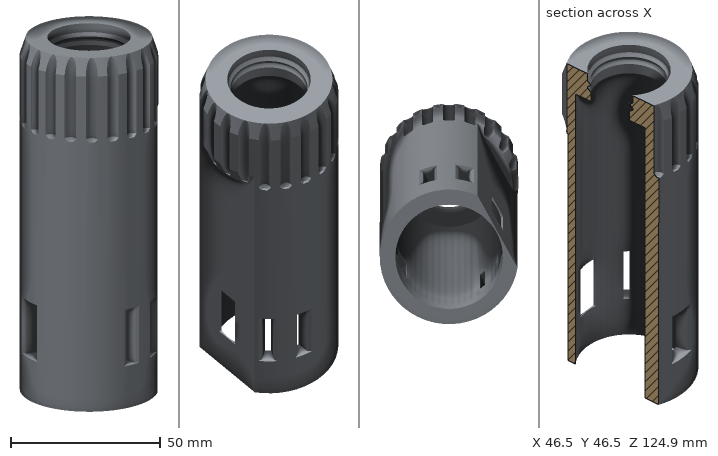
import cadquery as cq
import math

HEIGHT = 124.9
OUTER_RADIUS = 46.5 / 2
FLAT_OFFSET = 18.4

GRIP_HEIGHT = 29.4
GRIP_BOTTOM = HEIGHT - GRIP_HEIGHT
GRIP_CHAMFER_RADIAL = 2.0
GRIP_CHAMFER_HEIGHT = 6.0
FLUTE_COUNT = 20
FLUTE_RADIUS = 2.0
FLUTE_FIRST_ANGLE = 10.0
FLUTE_END_CHAMFER = 1.0

CAVITY_RADIUS = 18.0
NECK_RADIUS = 28 / 2
CREST_RADIUS = 26 / 2
ENTRY_DEPTH = 3.1
RIDGE_FLANK_HEIGHT = 1.2
GROOVE_PITCH = 3.0
LAND_HEIGHT = 3.95

WINDOW_BOTTOM = 15.0
WINDOW_HEIGHT = 20.0
FRONT_WINDOW_WIDTH = 10.4
SIDE_WINDOW_WIDTH = 6.28
FLAT_WINDOW_WIDTH = 8.0
SIDE_WINDOW_ANGLES = (10.3, 41.4)
WINDOW_BEVEL_WIDTH = 1.1
WINDOW_BEVEL_ANGLE = 34.0
WINDOW_TAPER_ANGLE = 13.0
CUT_MARGIN = 1.0


def cylinder(radius, bottom, top):
    return cq.Workplane("XY").workplane(offset=bottom).circle(radius).extrude(top - bottom)


def beyond_flat(bottom, height):
    """Block covering everything on the +Y side of the flat."""
    return (
        cq.Workplane("XY")
        .workplane(offset=bottom)
        .center(0, FLAT_OFFSET + OUTER_RADIUS / 2)
        .rect(2 * OUTER_RADIUS, OUTER_RADIUS)
        .extrude(height)
    )


def body():
    """Round body below the grip, with a full-length flat on its +Y side."""
    round_body = cylinder(OUTER_RADIUS, 0, GRIP_BOTTOM)
    return round_body.cut(beyond_flat(0, GRIP_BOTTOM))


def grip():
    """Grip with a conical bevel at the top, and at the bottom where it overhangs the flat."""
    end_radius = OUTER_RADIUS - GRIP_CHAMFER_RADIAL
    profile = [
        (0, GRIP_BOTTOM),
        (end_radius, GRIP_BOTTOM),
        (OUTER_RADIUS, GRIP_BOTTOM + GRIP_CHAMFER_HEIGHT),
        (OUTER_RADIUS, HEIGHT - GRIP_CHAMFER_HEIGHT),
        (end_radius, HEIGHT),
        (0, HEIGHT),
    ]
    beveled = cq.Workplane("XZ").polyline(profile).close().revolve(360, (0, 0), (0, 1))
    round_base = cylinder(OUTER_RADIUS, GRIP_BOTTOM, GRIP_BOTTOM + GRIP_CHAMFER_HEIGHT)
    overhang = beyond_flat(GRIP_BOTTOM, GRIP_CHAMFER_HEIGHT)
    return beveled.union(round_base.cut(overhang))


def cut_flutes(part):
    """Round-bottomed flutes, closed by a bevel at their lower ends."""
    cutter = cylinder(FLUTE_RADIUS, GRIP_BOTTOM, HEIGHT).faces("<Z").chamfer(FLUTE_END_CHAMFER)
    cutter = cutter.translate((OUTER_RADIUS, 0, 0))
    for index in range(FLUTE_COUNT):
        angle = FLUTE_FIRST_ANGLE + index * 360 / FLUTE_COUNT
        part = part.cut(cutter.rotate((0, 0, 0), (0, 0, 1), angle))
    return part


def bore():
    """Through bore: plain entry, two V ridges, a land, then the wide cavity."""
    first_crest = HEIGHT - ENTRY_DEPTH - RIDGE_FLANK_HEIGHT
    second_crest = first_crest - GROOVE_PITCH
    cavity_top = second_crest - LAND_HEIGHT
    profile = [
        (0, 0),
        (CAVITY_RADIUS, 0),
        (CAVITY_RADIUS, cavity_top),
        (CREST_RADIUS, cavity_top),
        (CREST_RADIUS, second_crest),
        (NECK_RADIUS, second_crest + RIDGE_FLANK_HEIGHT),
        (NECK_RADIUS, first_crest - RIDGE_FLANK_HEIGHT),
        (CREST_RADIUS, first_crest),
        (NECK_RADIUS, HEIGHT - ENTRY_DEPTH),
        (NECK_RADIUS, HEIGHT),
        (0, HEIGHT),
    ]
    return cq.Workplane("XZ").polyline(profile).close().revolve(360, (0, 0), (0, 1))


def window(width, angle):
    """Window narrowing toward the axis, with a shallow bevel at the outer surface."""
    half_width = width / 2
    mouth = math.sqrt(OUTER_RADIUS**2 - half_width**2)
    bevel_slope = math.tan(math.radians(WINDOW_BEVEL_ANGLE))
    throat = mouth - WINDOW_BEVEL_WIDTH * bevel_slope
    throat_half = half_width - WINDOW_BEVEL_WIDTH
    inner = CAVITY_RADIUS - CUT_MARGIN
    inner_half = throat_half - (throat - inner) * math.tan(math.radians(WINDOW_TAPER_ANGLE))
    outer = OUTER_RADIUS + CUT_MARGIN
    outer_half = half_width + (outer - mouth) / bevel_slope
    upper_side = [(outer, outer_half), (throat, throat_half), (inner, inner_half)]
    lower_side = [(x, -y) for x, y in reversed(upper_side)]
    return (
        cq.Workplane("XY")
        .workplane(offset=WINDOW_BOTTOM)
        .polyline(upper_side + lower_side)
        .close()
        .extrude(WINDOW_HEIGHT)
        .rotate((0, 0, 0), (0, 0, 1), angle)
    )


def cut_windows(part):
    """Front window on -Y, two side windows on each of -X and +X, plain window in the flat."""
    part = part.cut(window(FRONT_WINDOW_WIDTH, -90))
    for angle in SIDE_WINDOW_ANGLES:
        part = part.cut(window(SIDE_WINDOW_WIDTH, angle))
        part = part.cut(window(SIDE_WINDOW_WIDTH, 180 - angle))
    flat_window = (
        cq.Workplane("XY")
        .workplane(offset=WINDOW_BOTTOM)
        .center(0, FLAT_OFFSET)
        .rect(FLAT_WINDOW_WIDTH, 2 * CUT_MARGIN)
        .extrude(WINDOW_HEIGHT)
    )
    return part.cut(flat_window)


result = cut_windows(cut_flutes(body().union(grip())).cut(bore()))